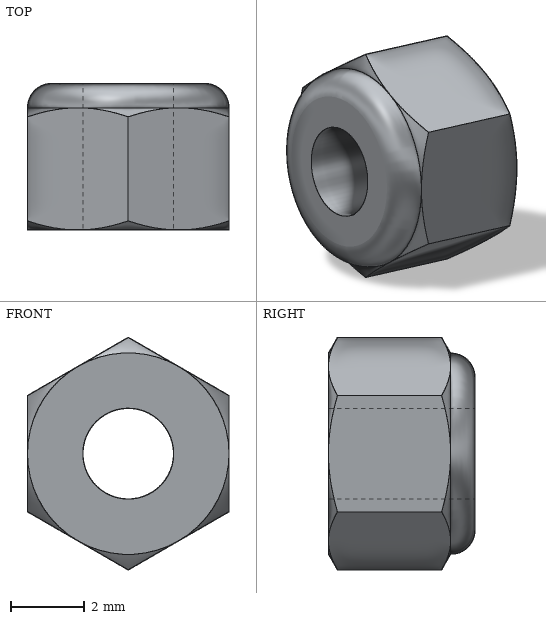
import cadquery as cq
import math

across_corners = 6.35
across_flats = across_corners * math.cos(math.radians(30))
total_length = 4.0
hex_length = 3.335
bore_diameter = 2.47
cut_margin = 0.065
chamfer_angle = 30.0

corner_radius = across_corners / 2
flat_radius = across_flats / 2
collar_height = total_length - hex_length
chamfer_depth = (corner_radius - flat_radius) * math.tan(math.radians(chamfer_angle))


def revolve_about_y(profile):
    """Turn a closed (radius, Y) profile into a solid around the nut axis."""
    return profile.close().revolve(360, (0, 0, 0), (0, 1, 0))


def hex_body():
    """Hexagonal prism with corners on Z, its corners cut conically at both ends."""
    prism = (
        cq.Workplane("XZ")
        .polygon(6, across_corners)
        .extrude(-hex_length)
        .rotate((0, 0, 0), (0, 1, 0), 30)
    )
    envelope_radius = corner_radius + cut_margin
    envelope_depth = chamfer_depth * (envelope_radius - flat_radius) / (corner_radius - flat_radius)
    envelope = revolve_about_y(
        cq.Workplane("XY")
        .moveTo(0, 0)
        .lineTo(flat_radius, 0)
        .lineTo(envelope_radius, envelope_depth)
        .lineTo(envelope_radius, hex_length - envelope_depth)
        .lineTo(flat_radius, hex_length)
        .lineTo(0, hex_length)
    )
    return prism.intersect(envelope)


def locking_collar():
    """Round collar whose outer edge is a quarter circle over its full height."""
    root = hex_length / 2
    root_radius = flat_radius - collar_height
    arc_offset = collar_height * math.sqrt(0.5)
    return revolve_about_y(
        cq.Workplane("XY")
        .moveTo(0, root)
        .lineTo(root_radius, root)
        .lineTo(root_radius, hex_length)
        .lineTo(flat_radius, hex_length)
        .threePointArc(
            (root_radius + arc_offset, hex_length + arc_offset),
            (root_radius, total_length),
        )
        .lineTo(0, total_length)
    )


bore = cq.Workplane("XZ").circle(bore_diameter / 2).extrude(-total_length)

result = hex_body().union(locking_collar()).cut(bore)